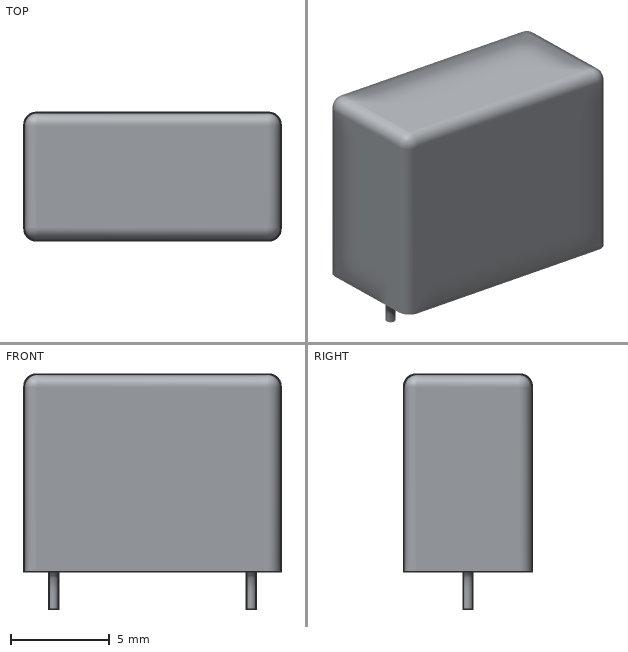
import cadquery as cq

body_length = 13.0
body_width = 6.5
total_height = 11.9
body_height = 10.0
edge_radius = 0.65

pin_diameter = 0.5
pin_pitch = 10.0
pin_length = total_height - body_height


def make_body():
    """Box standing on Z = 0, with a sharp bottom outline."""
    box = cq.Workplane("XY").box(body_length, body_width, body_height, centered=(True, True, False))
    return box.edges("|Z or >Z").fillet(edge_radius)


def make_pins():
    """Pair of leads reaching down from the underside."""
    return (
        cq.Workplane("XY")
        .pushPoints([(-pin_pitch / 2, 0), (pin_pitch / 2, 0)])
        .circle(pin_diameter / 2)
        .extrude(-pin_length)
    )


result = make_body().union(make_pins())